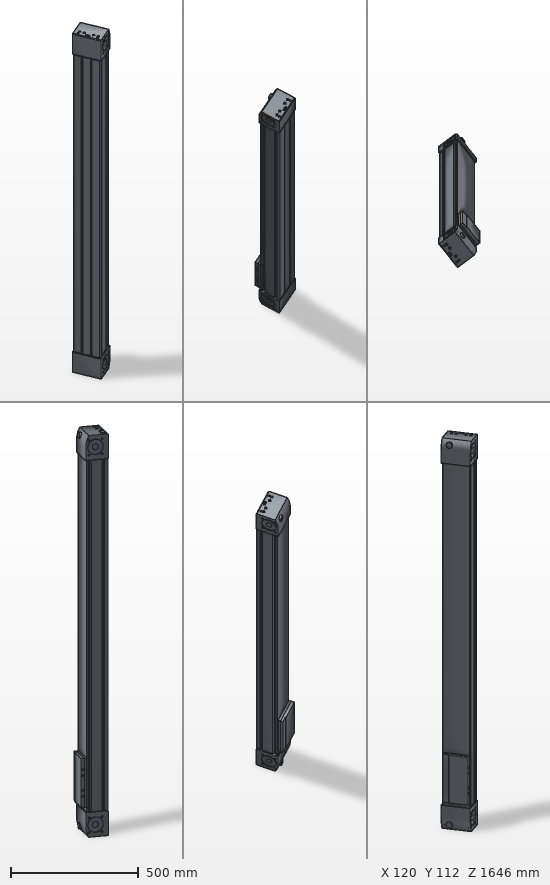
import cadquery as cq
import math


LENGTH = 1646.0
WIDTH = 120.0
DEPTH = 112.0
TOP_Z = LENGTH / 2
FRONT_Y = -DEPTH / 2
BACK_Y = DEPTH / 2
SIDES = (-1, 1)

HEAD_HEIGHT = 102.0
HEAD_BASE_Z = TOP_Z - HEAD_HEIGHT
HEAD_BACK_Y = 38.0
HEAD_EDGE_CHAMFER = 3.0
BACK_ROUND_RADIUS = 99.0
AXLE_Y = -2.5
AXLE_Z = TOP_Z - 50.0
AXLE_BORE_DIAMETER = 25.0

COVER_DIAMETER = 63.0
COVER_THICKNESS = 3.0
SCREW_HOLE_DIAMETER = 7.0
SCREW_HOLE_DEPTH = 10.0
SCREW_SPACING_Y = 55.0
SCREW_SPACING_Z = 61.0

BOSS_DIAMETER = 25.0
BOSS_X = 26.0
BOSS_Z = TOP_Z - 23.0
BOSS_TOP_Y = 40.0
BOSS_LENGTH = 16.0

SOCKET_DEPTH = 10.0
BOLT_HOLE_DIAMETER = 9.0
BOLT_HOLE_X = (20.0, 40.0)
BOLT_HOLE_Y = -33.0
FRONT_SOCKET_Y = -45.0
CORNER_HOLE_DIAMETER = 7.0
CORNER_HOLE_X = 41.0
CENTRE_SLOT_LENGTH = 18.0
CENTRE_SLOT_WIDTH = 7.0

PROFILE_WIDTH = 110.0
PROFILE_SIDE_X = PROFILE_WIDTH / 2
PROFILE_BACK_Y = 33.0
PROFILE_LENGTH = LENGTH - 2 * HEAD_HEIGHT
FRONT_SLOT_X = 20.0
FRONT_SLOT_WIDTH = 7.0
FRONT_SLOT_DEPTH = 8.0
SIDE_SLOT_Y = -36.0
SIDE_SLOT_MOUTH = 10.0
SIDE_SLOT_LIP = 2.0
SIDE_SLOT_WIDTH = 5.0
SIDE_SLOT_DEPTH = 7.0
GUIDE_GROOVE_Y = 20.0
GUIDE_GROOVE_MOUTH = 15.0
GUIDE_GROOVE_FLOOR = 5.0
GUIDE_GROOVE_DEPTH = 5.0

CARRIAGE_LENGTH = 200.0
CARRIAGE_CENTRE_Z = -599.0
CARRIAGE_BASE_Z = CARRIAGE_CENTRE_Z - CARRIAGE_LENGTH / 2
CARRIAGE_LEFT_X = -58.0
CARRIAGE_RIGHT_X = 48.0
SLIDER_BACK_Y = 43.0
SKIRT_FRONT_Y = 23.0
TABLE_STEP_X = 23.0
TABLE_STEP_DEPTH = 3.0
NOTCH_SPACINGS = (61.0, 110.0)
NOTCH_WIDTH = 5.0
NOTCH_DEPTH = 2.0


def z_prism(points, base_z, height):
    """Prism along Z over a closed polygon in the XY plane."""
    return cq.Workplane("XY", origin=(0, 0, base_z)).polyline(points).close().extrude(height)


def z_block(x0, x1, y0, y1, base_z, height):
    """Rectangular block spanning the given X and Y ranges."""
    return z_prism([(x0, y0), (x1, y0), (x1, y1), (x0, y1)], base_z, height)


def side_disc(diameter, side, depth, y, z):
    """Cylinder going inward along X from one side face (side is -1 or 1) of an upper head."""
    face = cq.Workplane("YZ", origin=(side * WIDTH / 2, y, z))
    return face.circle(diameter / 2).extrude(-side * depth)


def front_slot(side):
    """Plain slot along the front of the profile."""
    centre = side * FRONT_SLOT_X
    half = FRONT_SLOT_WIDTH / 2
    floor_y = FRONT_Y + FRONT_SLOT_DEPTH
    return z_block(centre - half, centre + half, FRONT_Y, floor_y, -HEAD_BASE_Z, PROFILE_LENGTH)


def side_slot(side):
    """Slot along a side of the profile, stepped to a wider mouth."""
    face = side * PROFILE_SIDE_X
    lip = side * (PROFILE_SIDE_X - SIDE_SLOT_LIP)
    floor = side * (PROFILE_SIDE_X - SIDE_SLOT_DEPTH)
    mouth = SIDE_SLOT_MOUTH / 2
    neck = SIDE_SLOT_WIDTH / 2
    outline = [
        (face, SIDE_SLOT_Y - mouth),
        (lip, SIDE_SLOT_Y - mouth),
        (lip, SIDE_SLOT_Y - neck),
        (floor, SIDE_SLOT_Y - neck),
        (floor, SIDE_SLOT_Y + neck),
        (lip, SIDE_SLOT_Y + neck),
        (lip, SIDE_SLOT_Y + mouth),
        (face, SIDE_SLOT_Y + mouth),
    ]
    return z_prism(outline, -HEAD_BASE_Z, PROFILE_LENGTH)


def guide_groove(side):
    """Flat-bottomed V groove along a side of the profile, near its back."""
    face = side * PROFILE_SIDE_X
    floor = side * (PROFILE_SIDE_X - GUIDE_GROOVE_DEPTH)
    outline = [
        (face, GUIDE_GROOVE_Y - GUIDE_GROOVE_MOUTH / 2),
        (floor, GUIDE_GROOVE_Y - GUIDE_GROOVE_FLOOR / 2),
        (floor, GUIDE_GROOVE_Y + GUIDE_GROOVE_FLOOR / 2),
        (face, GUIDE_GROOVE_Y + GUIDE_GROOVE_MOUTH / 2),
    ]
    return z_prism(outline, -HEAD_BASE_Z, PROFILE_LENGTH)


def make_profile():
    profile = z_block(
        -PROFILE_SIDE_X, PROFILE_SIDE_X, FRONT_Y, PROFILE_BACK_Y, -HEAD_BASE_Z, PROFILE_LENGTH
    )
    for side in SIDES:
        profile = profile.cut(front_slot(side)).cut(side_slot(side)).cut(guide_groove(side))
    return profile


def head_block():
    """Upper head: front edges chamfered, back curving forward above the axle."""

    def back_y(rise):
        return HEAD_BACK_Y - BACK_ROUND_RADIUS + math.sqrt(BACK_ROUND_RADIUS**2 - rise**2)

    full_rise = TOP_Z - AXLE_Z
    mid_rise = full_rise / 2
    chamfer_y = FRONT_Y + HEAD_EDGE_CHAMFER
    return (
        cq.Workplane("YZ", origin=(-WIDTH / 2, 0, 0))
        .moveTo(chamfer_y, HEAD_BASE_Z)
        .lineTo(HEAD_BACK_Y, HEAD_BASE_Z)
        .lineTo(HEAD_BACK_Y, AXLE_Z)
        .threePointArc((back_y(mid_rise), AXLE_Z + mid_rise), (back_y(full_rise), TOP_Z))
        .lineTo(chamfer_y, TOP_Z)
        .lineTo(FRONT_Y, TOP_Z - HEAD_EDGE_CHAMFER)
        .lineTo(FRONT_Y, HEAD_BASE_Z + HEAD_EDGE_CHAMFER)
        .close()
        .extrude(WIDTH)
    )


def back_boss():
    plane = cq.Workplane("XZ", origin=(BOSS_X, BOSS_TOP_Y, BOSS_Z))
    return plane.circle(BOSS_DIAMETER / 2).extrude(BOSS_LENGTH)


def cut_side_openings(head):
    """Axle bore through the head, cover seats and screw holes in both sides."""
    head = head.cut(side_disc(AXLE_BORE_DIAMETER, -1, WIDTH, AXLE_Y, AXLE_Z))
    for side in SIDES:
        head = head.cut(make_upper_cover(side))
        for y in (AXLE_Y - SCREW_SPACING_Y / 2, AXLE_Y + SCREW_SPACING_Y / 2):
            for z in (AXLE_Z - SCREW_SPACING_Z / 2, AXLE_Z + SCREW_SPACING_Z / 2):
                head = head.cut(side_disc(SCREW_HOLE_DIAMETER, side, SCREW_HOLE_DEPTH, y, z))
    return head


def cut_end_sockets(head):
    """Bolt holes, corner holes and a centre slot in the outer end."""
    end = cq.Workplane("XY", origin=(0, 0, TOP_Z))
    bolt_points = [(side * x, BOLT_HOLE_Y) for side in SIDES for x in BOLT_HOLE_X]
    corner_points = [(side * CORNER_HOLE_X, FRONT_SOCKET_Y) for side in SIDES]
    bolts = end.pushPoints(bolt_points).circle(BOLT_HOLE_DIAMETER / 2).extrude(-SOCKET_DEPTH)
    corners = end.pushPoints(corner_points).circle(CORNER_HOLE_DIAMETER / 2).extrude(-SOCKET_DEPTH)
    slot = end.center(0, FRONT_SOCKET_Y).slot2D(CENTRE_SLOT_LENGTH, CENTRE_SLOT_WIDTH)
    return head.cut(bolts).cut(corners).cut(slot.extrude(-SOCKET_DEPTH))


def make_upper_head():
    head = head_block().union(back_boss())
    return cut_end_sockets(cut_side_openings(head))


def make_upper_cover(side):
    return side_disc(COVER_DIAMETER, side, COVER_THICKNESS, AXLE_Y, AXLE_Z)


def both_ends(upper_body):
    """An upper-end body and its mirror image at the lower end."""
    return [upper_body, upper_body.mirror("XY")]


def make_slider():
    """Deck lying on the back of the profile, with a skirt along its left side."""
    deck = z_block(
        CARRIAGE_LEFT_X, CARRIAGE_RIGHT_X, PROFILE_BACK_Y, SLIDER_BACK_Y, CARRIAGE_BASE_Z, CARRIAGE_LENGTH
    )
    skirt = z_block(
        CARRIAGE_LEFT_X, -PROFILE_SIDE_X, SKIRT_FRONT_Y, SLIDER_BACK_Y, CARRIAGE_BASE_Z, CARRIAGE_LENGTH
    )
    return deck.union(skirt)


def make_table():
    """Plate on the slider, lower along its right side and notched along its left edge."""
    step_y = BACK_Y - TABLE_STEP_DEPTH
    outline = [
        (CARRIAGE_LEFT_X, SLIDER_BACK_Y),
        (CARRIAGE_RIGHT_X, SLIDER_BACK_Y),
        (CARRIAGE_RIGHT_X, step_y),
        (TABLE_STEP_X, step_y),
        (TABLE_STEP_X, BACK_Y),
        (CARRIAGE_LEFT_X, BACK_Y),
    ]
    table = z_prism(outline, CARRIAGE_BASE_Z, CARRIAGE_LENGTH)
    notch_floor_x = CARRIAGE_LEFT_X + NOTCH_DEPTH
    for spacing in NOTCH_SPACINGS:
        for side in SIDES:
            base_z = CARRIAGE_CENTRE_Z + side * spacing / 2 - NOTCH_WIDTH / 2
            notch = z_block(CARRIAGE_LEFT_X, notch_floor_x, SLIDER_BACK_Y, BACK_Y, base_z, NOTCH_WIDTH)
            table = table.cut(notch)
    return table


profile = make_profile()
heads = both_ends(make_upper_head())
covers = [cover for side in SIDES for cover in both_ends(make_upper_cover(side))]
slider = make_slider()
table = make_table()

bodies = [profile, *heads, *covers, slider, table]
result = cq.Compound.makeCompound([body.val() for body in bodies])